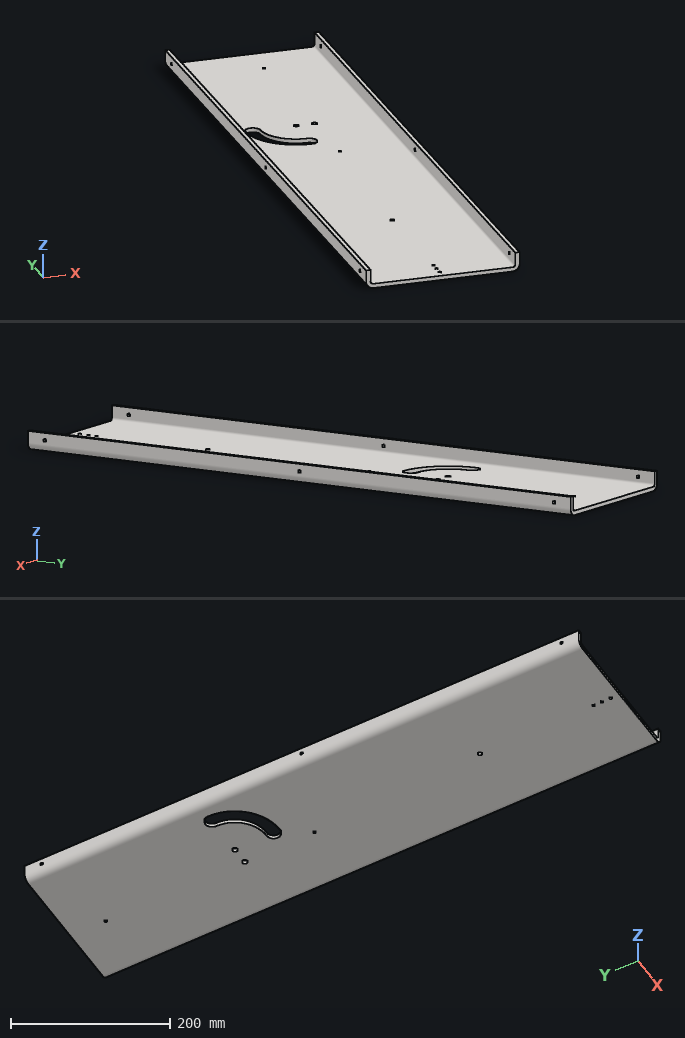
import cadquery as cq
import math

length = 806.5
width = 203.0
height = 25.0
thickness = 6.0
bend_radius = 10.0

slot_center_x = -13.0
pivot_hole_x = 12.0
pivot_y = 149.0
slot_radius = 56.5
slot_width = 19.0

pivot_hole_diameter = 6.7
guide_hole_diameter = 3.0
guide_hole_offsets = (202.5, -102.0)
middle_hole_diameter = 5.3
middle_hole_y = -200.0
end_hole_diameter = 3.0
end_hole_ys = (-365.0, -377.5, -390.0)

flange_hole_diameter = 3.55
flange_hole_spacing = 378.0
flange_hole_z = 15.0


def make_tray():
    """Extrude the U section with concentric rounded folds."""
    outer = (
        cq.Workplane("XY")
        .box(width, length, height, centered=(True, True, False))
        .edges("|Y and <Z")
        .fillet(bend_radius)
    )
    inner = (
        cq.Workplane("XY")
        .workplane(offset=thickness)
        .box(width - 2 * thickness, length, height, centered=(True, True, False))
        .edges("|Y and <Z")
        .fillet(bend_radius - thickness)
    )
    return outer.cut(inner)


def floor_holes(points, diameter):
    return cq.Workplane("XY").pushPoints(points).circle(diameter / 2).extrude(height)


def curved_slot():
    """Quarter-ring cutter with round ends, from the left of its center to below it."""
    inner_radius = slot_radius - slot_width / 2
    outer_radius = slot_radius + slot_width / 2
    diagonal = math.sqrt(0.5)
    return (
        cq.Workplane("XY", origin=(slot_center_x, pivot_y, 0))
        .moveTo(-outer_radius, 0)
        .threePointArc((-outer_radius * diagonal, -outer_radius * diagonal), (0, -outer_radius))
        .threePointArc((slot_width / 2, -slot_radius), (0, -inner_radius))
        .threePointArc((-inner_radius * diagonal, -inner_radius * diagonal), (-inner_radius, 0))
        .threePointArc((-slot_radius, slot_width / 2), (-outer_radius, 0))
        .close()
        .extrude(height)
    )


def flange_holes():
    points = [(y, flange_hole_z) for y in (-flange_hole_spacing, 0, flange_hole_spacing)]
    return (
        cq.Workplane("YZ")
        .pushPoints(points)
        .circle(flange_hole_diameter / 2)
        .extrude(width / 2, both=True)
    )


pivot_points = [(-pivot_hole_x, pivot_y), (pivot_hole_x, pivot_y)]
guide_points = [(pivot_hole_x, pivot_y + offset) for offset in guide_hole_offsets]
end_points = [(0, y) for y in end_hole_ys]

result = (
    make_tray()
    .cut(curved_slot())
    .cut(floor_holes(pivot_points, pivot_hole_diameter))
    .cut(floor_holes(guide_points, guide_hole_diameter))
    .cut(floor_holes([(0, middle_hole_y)], middle_hole_diameter))
    .cut(floor_holes(end_points, end_hole_diameter))
    .cut(flange_holes())
)